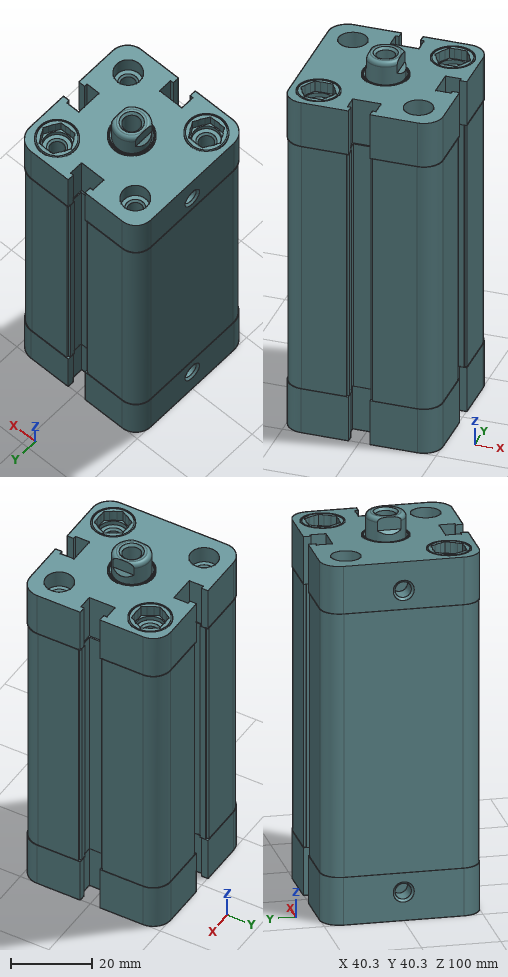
import cadquery as cq
import math

TOTAL_LENGTH = 100.0
CAP_WIDTH = 40.3
CAP_LENGTH = 12.5
CORNER_RADIUS = 5.0
BARREL_INSET = 0.15
ROD_PROJECTION = 6.0

BODY_LENGTH = TOTAL_LENGTH - ROD_PROJECTION
BARREL_LENGTH = BODY_LENGTH - 2 * CAP_LENGTH
BARREL_WIDTH = CAP_WIDTH - 2 * BARREL_INSET
FRONT_CAP_BASE = BODY_LENGTH - CAP_LENGTH

SLOT_MOUTH_WIDTH = 5.6
CAP_SLOT_WIDTH = 7.4
CAP_SLOT_DEPTH = 5.9
CAP_LIP_THICKNESS = 1.9
BARREL_SLOT_WIDTH = 6.8
BARREL_SLOT_DEPTH = 5.3
BARREL_LIP_THICKNESS = 2.1
MOUTH_STEP_WIDTH = 6.8
MOUTH_STEP_DEPTH = 0.6
SLOT_ANGLES = (-90, 0, 90)

CORNER_OFFSET = 13.0
COUNTERBORE_DIAMETER = 7.5
COUNTERBORE_DEPTH = 4.6
SOCKET_DEPTH = 4.1
THREAD_BORE = 4.1
THREAD_CHAMFER_DIAMETER = 5.2
SCREW_RIM_DIAMETER = 11.1
SCREW_TOP_DIAMETER = 10.3
SOCKET_BORE = 8.2
HEX_ACROSS_FLATS = 8.0
HEX_ACROSS_CORNERS = HEX_ACROSS_FLATS / math.cos(math.pi / 6)
HEX_DEPTH = 2.9

PORT_BORE = 4.1
PORT_CHAMFER_DIAMETER = 5.3
PORT_DEPTH = 5.0
PORT_INSET = 7.5

ROD_DIAMETER = 10.0
ROD_END_ROUNDING = 1.2
ROD_FLATS_WIDTH = 8.0
ROD_FLATS_LENGTH = 3.4
ROD_FLATS_RUNOUT = 0.9
ROD_BORE = 4.9
ROD_BORE_CHAMFER_DIAMETER = 6.2
ROD_BORE_DEPTH = 12.0
SEAL_RIM_DIAMETER = 12.0
SEAL_TOP_DIAMETER = 11.4
SEAL_MOUTH_DIAMETER = 10.9


def rounded_bar(width, corner_radius, base, length):
    """Square bar along Z with rounded long edges."""
    return (
        cq.Workplane("XY", origin=(0, 0, base))
        .rect(width, width)
        .extrude(length)
        .edges("|Z")
        .fillet(corner_radius)
    )


def side_channel(side, width, outer_depth, inner_depth, base, length):
    """Box between two depths below the face that lies at `side` on the +X side."""
    channel = cq.Workplane("XY").box(inner_depth - outer_depth, width, length, centered=(False, True, False))
    return channel.translate((side - inner_depth, 0, base))


def cut_t_slots(body, side, slot_width, slot_depth, lip_thickness, base, length):
    mouth = side_channel(side, SLOT_MOUTH_WIDTH, 0, slot_depth, base, length)
    slot = mouth.union(side_channel(side, slot_width, lip_thickness, slot_depth, base, length))
    for angle in SLOT_ANGLES:
        body = body.cut(slot.rotate((0, 0, 0), (0, 0, 1), angle))
    return body


def cut_mouth_steps(body, side, base, length):
    step = side_channel(side, MOUTH_STEP_WIDTH, 0, MOUTH_STEP_DEPTH, base, length)
    for angle in SLOT_ANGLES:
        body = body.cut(step.rotate((0, 0, 0), (0, 0, 1), angle))
    return body


def chamfered_bore(bore, mouth, depth):
    """Cutter pointing down from the origin: a bore with a 45 degree chamfer at its mouth."""
    chamfer = (mouth - bore) / 2
    return (
        cq.Workplane("XZ")
        .polyline([(0, 0), (mouth / 2, 0), (bore / 2, -chamfer), (bore / 2, -depth), (0, -depth)])
        .close()
        .revolve(360, (0, 0, 0), (0, 1, 0))
    )


def rim_groove(outer_diameter, inner_diameter):
    """Ring cutter with an upright outer wall and a 45 degree inner wall, its top at the origin."""
    outer = outer_diameter / 2
    inner = inner_diameter / 2
    return (
        cq.Workplane("XZ")
        .polyline([(inner, 0), (outer, 0), (outer, inner - outer)])
        .close()
        .revolve(360, (0, 0, 0), (0, 1, 0))
    )


def corner_hole(depth):
    """Counterbore of the given depth with a thread bore from its floor to the inner face of the cap."""
    counterbore = cq.Workplane("XY").circle(COUNTERBORE_DIAMETER / 2).extrude(-depth)
    thread = chamfered_bore(THREAD_BORE, THREAD_CHAMFER_DIAMETER, CAP_LENGTH - depth)
    return counterbore.union(thread.translate((0, 0, -depth)))


def socket_corner_hole():
    hexagon = cq.Workplane("XY").polygon(6, HEX_ACROSS_CORNERS).extrude(-HEX_DEPTH)
    relief = cq.Workplane("XY").circle(SOCKET_BORE / 2).extrude(-HEX_DEPTH)
    return hexagon.union(relief).union(corner_hole(SOCKET_DEPTH))


def air_port(height):
    port = chamfered_bore(PORT_BORE, PORT_CHAMFER_DIAMETER, PORT_DEPTH)
    return port.rotate((0, 0, 0), (0, 1, 0), -90).translate((-CAP_WIDTH / 2, 0, height))


def cap_blank(base, port_height):
    """Features that both caps share: outline, T-slots and air port."""
    cap = rounded_bar(CAP_WIDTH, CORNER_RADIUS, base, CAP_LENGTH)
    cap = cut_t_slots(
        cap, CAP_WIDTH / 2, CAP_SLOT_WIDTH, CAP_SLOT_DEPTH, CAP_LIP_THICKNESS, base, CAP_LENGTH
    )
    return cap.cut(air_port(port_height))


def make_rear_cap():
    return cap_blank(0, PORT_INSET)


def make_front_cap():
    cap = cap_blank(FRONT_CAP_BASE, BODY_LENGTH - PORT_INSET)
    for side in (-1, 1):
        x = side * CORNER_OFFSET
        cap = cap.cut(corner_hole(COUNTERBORE_DEPTH).translate((x, -x, BODY_LENGTH)))
        cap = cap.cut(socket_corner_hole().translate((x, x, BODY_LENGTH)))
        cap = cap.cut(rim_groove(SCREW_RIM_DIAMETER, SCREW_TOP_DIAMETER).translate((x, x, BODY_LENGTH)))
    rod_hole = chamfered_bore(ROD_DIAMETER, SEAL_MOUTH_DIAMETER, CAP_LENGTH)
    cap = cap.cut(rod_hole.translate((0, 0, BODY_LENGTH)))
    return cap.cut(rim_groove(SEAL_RIM_DIAMETER, SEAL_TOP_DIAMETER).translate((0, 0, BODY_LENGTH)))


def make_barrel():
    barrel = rounded_bar(BARREL_WIDTH, CORNER_RADIUS, CAP_LENGTH, BARREL_LENGTH)
    barrel = cut_t_slots(
        barrel,
        BARREL_WIDTH / 2,
        BARREL_SLOT_WIDTH,
        BARREL_SLOT_DEPTH,
        BARREL_LIP_THICKNESS,
        CAP_LENGTH,
        BARREL_LENGTH,
    )
    return cut_mouth_steps(barrel, BARREL_WIDTH / 2, CAP_LENGTH, BARREL_LENGTH)


def rod_flat_cutter():
    """Cutter for the +X wrench flat, with a sloping run-out at its lower end."""
    inner = ROD_FLATS_WIDTH / 2
    outer = ROD_DIAMETER / 2
    end = TOTAL_LENGTH - ROD_FLATS_LENGTH
    runout_end = end - ROD_FLATS_RUNOUT
    return (
        cq.Workplane("XZ")
        .polyline([(inner, TOTAL_LENGTH), (inner, end), (outer, runout_end), (outer, TOTAL_LENGTH)])
        .close()
        .extrude(outer, both=True)
    )


def make_piston_rod():
    rod = (
        cq.Workplane("XY", origin=(0, 0, FRONT_CAP_BASE))
        .circle(ROD_DIAMETER / 2)
        .extrude(TOTAL_LENGTH - FRONT_CAP_BASE)
        .faces(">Z")
        .edges()
        .fillet(ROD_END_ROUNDING)
    )
    for angle in (0, 180):
        rod = rod.cut(rod_flat_cutter().rotate((0, 0, 0), (0, 0, 1), angle))
    bore = chamfered_bore(ROD_BORE, ROD_BORE_CHAMFER_DIAMETER, ROD_BORE_DEPTH)
    return rod.cut(bore.translate((0, 0, TOTAL_LENGTH)))


rear_cap = make_rear_cap()
barrel = make_barrel()
front_cap = make_front_cap()
piston_rod = make_piston_rod()

result = cq.Compound.makeCompound([rear_cap.val(), barrel.val(), front_cap.val(), piston_rod.val()])